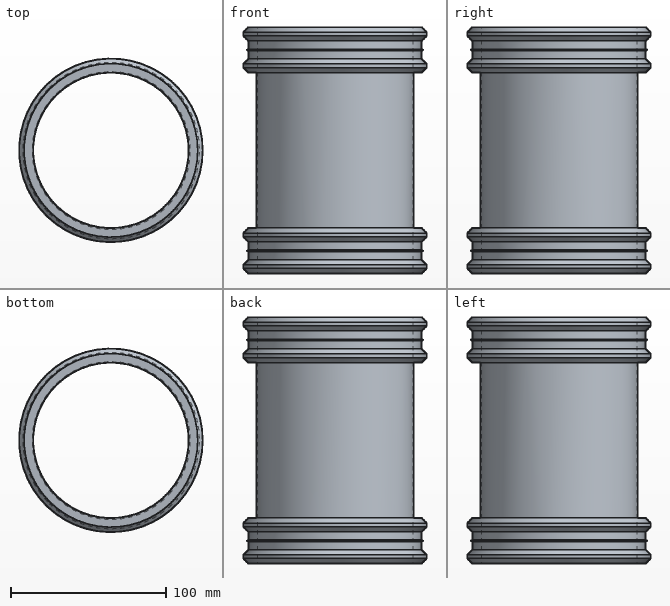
import cadquery as cq
import math

total_length = 158.8
bore_radius = 50.0
tube_outer_radius = 50.9

flange_radius = 59.2
groove_radius = 55.9
rib_radius = 56.9
flange_flat = 2.35
groove_width = 11.5
rib_angle = 60.0

rib_base_width = 2 * (rib_radius - groove_radius) * math.tan(math.radians(rib_angle / 2))
flange_bevel = flange_radius - groove_radius
flange_height = flange_flat + 2 * flange_bevel
collar_height = 2 * flange_height + groove_width
tube_length = total_length - 2 * collar_height


def ring(inner_radius, outer_radius, base_z, height):
    """Plain ring about Z, standing on base_z."""
    return (
        cq.Workplane("XY")
        .workplane(offset=base_z)
        .circle(outer_radius)
        .circle(inner_radius)
        .extrude(height)
    )


def revolve_about_z(profile):
    """Full turn about Z of a closed outline of (radius, z) points."""
    return cq.Workplane("XZ").polyline(profile).close().revolve(360, (0, 0, 0), (0, 1, 0))


def make_flange(base_z):
    """Flange about Z with both outer edges bevelled, standing on base_z."""
    profile = [
        (bore_radius, base_z),
        (groove_radius, base_z),
        (flange_radius, base_z + flange_bevel),
        (flange_radius, base_z + flange_bevel + flange_flat),
        (groove_radius, base_z + flange_height),
        (bore_radius, base_z + flange_height),
    ]
    return revolve_about_z(profile)


def make_rib(middle_z):
    """Sharp V-shaped rib about Z with its edge at middle_z."""
    profile = [
        (bore_radius, middle_z - rib_base_width / 2),
        (groove_radius, middle_z - rib_base_width / 2),
        (rib_radius, middle_z),
        (groove_radius, middle_z + rib_base_width / 2),
        (bore_radius, middle_z + rib_base_width / 2),
    ]
    return revolve_about_z(profile)


def make_collar(base_z):
    """Grooved collar about Z, standing on base_z."""
    collar = ring(bore_radius, groove_radius, base_z, collar_height)
    for flange_z in (base_z, base_z + collar_height - flange_height):
        collar = collar.union(make_flange(flange_z))
    return collar.union(make_rib(base_z + collar_height / 2))


def make_tube_with_collar():
    """Thin tube in one piece with the lower collar."""
    tube = ring(bore_radius, tube_outer_radius, collar_height, tube_length)
    return make_collar(0).union(tube)


tube_with_collar = make_tube_with_collar()
upper_collar = make_collar(collar_height + tube_length)

result = cq.Compound.makeCompound([tube_with_collar.val(), upper_collar.val()])